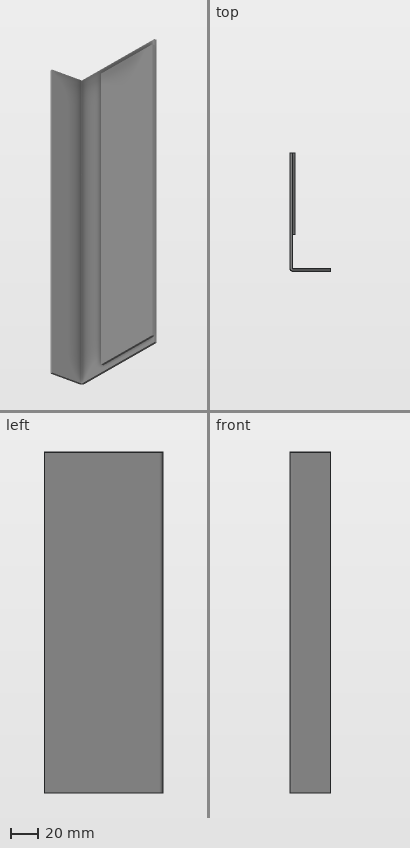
import cadquery as cq

height = 250.0
wide_flange = 87.0
narrow_flange = 30.0
sheet_thickness = 2.0
inner_bend_radius = 0.5
outer_bend_radius = inner_bend_radius + sheet_thickness

strip_width = 60.0
strip_thickness = 2.0
strip_end_gap = 5.0
strip_height = height - 2 * strip_end_gap


def make_angle():
    """Sheet bent to an L about a vertical edge, with concentric bend radii."""
    outer_corner = cq.Workplane("XY").box(narrow_flange, wide_flange, height, centered=False)
    outer_corner = outer_corner.edges("|Z and <X and <Y").fillet(outer_bend_radius)
    inner_space = (
        cq.Workplane("XY")
        .box(narrow_flange, wide_flange, height, centered=False)
        .edges("|Z and <X and <Y")
        .fillet(inner_bend_radius)
        .translate((sheet_thickness, sheet_thickness, 0))
    )
    return outer_corner.cut(inner_space)


def make_strip():
    """Strip flush with the free edge of the wide flange and centred in height."""
    return (
        cq.Workplane("XY")
        .box(strip_thickness, strip_width, strip_height, centered=False)
        .translate((sheet_thickness, wide_flange - strip_width, strip_end_gap))
    )


angle = make_angle()
strip = make_strip()
result = cq.Compound.makeCompound([angle.val(), strip.val()])